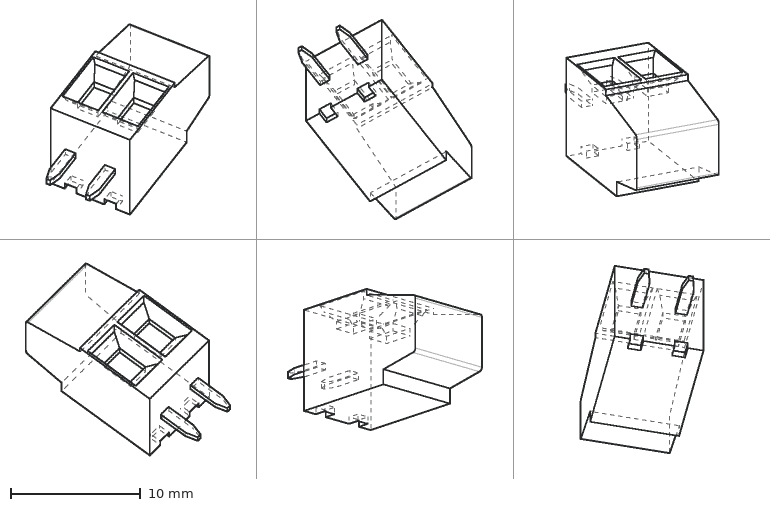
import cadquery as cq

WIDTH = 7.0
HEIGHT = 8.2
TOTAL_LENGTH = 16.1
PIN_LENGTH = 3.51
BODY_LENGTH = TOTAL_LENGTH - PIN_LENGTH

TOP_STEP_Y = 7.08
TOP_STEP_DROP = 0.5
BOTTOM_STEP_Y = 8.98
BOTTOM_STEP_RISE = 1.22
NOSE_TOP_Z = HEIGHT - 1.82
NOSE_BOTTOM_Z = 1.84
NOSE_RADIUS = 0.3

PITCH = 3.5
POLE_POSITIONS = (-PITCH / 2, PITCH / 2)

FUNNEL_CENTRE_Y = 4.02
MOUTH_WIDTH = 3.15
MOUTH_LENGTH = 4.86
WELL_WIDTH = 1.79
WELL_LENGTH = 2.62
LIP_INSET = 0.2
LIP_DEPTH = 0.5
WELL_TOP_DEPTH = 1.4
WELL_FLOOR_DEPTH = 2.0

PIN_WIDTH = 0.92
PIN_THICKNESS = 0.53
PIN_TIP_WIDTH = 0.34
PIN_TAPER_LENGTH = 1.0

NOTCH_WIDTH = 1.03
NOTCH_HEIGHT = 0.58
NOTCH_DEPTH = 1.0


def make_housing():
    """Side profile extruded across the width, with the nose edges rounded."""
    profile = [
        (0, 0),
        (BOTTOM_STEP_Y, 0),
        (BOTTOM_STEP_Y, BOTTOM_STEP_RISE),
        (BODY_LENGTH, NOSE_BOTTOM_Z),
        (BODY_LENGTH, NOSE_TOP_Z),
        (TOP_STEP_Y, HEIGHT - TOP_STEP_DROP),
        (TOP_STEP_Y, HEIGHT),
        (0, HEIGHT),
    ]
    block = cq.Workplane("YZ").polyline(profile).close().extrude(WIDTH / 2, both=True)
    return block.faces(">Y").edges("|X").fillet(NOSE_RADIUS)


def make_frustum(top_size, top_depth, bottom_size, bottom_depth):
    """Rectangular frustum between two depths below the top face."""
    return (
        cq.Workplane("XY", origin=(0, FUNNEL_CENTRE_Y, HEIGHT - top_depth))
        .rect(*top_size)
        .workplane(offset=top_depth - bottom_depth)
        .rect(*bottom_size)
        .loft(ruled=True)
    )


def make_funnel():
    """Steep lip, flatter slope, then a straight well with a flat floor."""
    mouth = (MOUTH_WIDTH, MOUTH_LENGTH)
    well = (WELL_WIDTH, WELL_LENGTH)
    side_run = (MOUTH_WIDTH - WELL_WIDTH) * LIP_DEPTH / WELL_TOP_DEPTH
    lip = (MOUTH_WIDTH - side_run, MOUTH_LENGTH - 2 * LIP_INSET)
    return (
        make_frustum(mouth, 0, lip, LIP_DEPTH)
        .union(make_frustum(lip, LIP_DEPTH, well, WELL_TOP_DEPTH))
        .union(make_frustum(well, WELL_TOP_DEPTH, well, WELL_FLOOR_DEPTH))
    )


def make_pin():
    """Pin at mid height, pointing toward -Y from the front face."""
    taper_y = PIN_TAPER_LENGTH - PIN_LENGTH
    outline = [
        (-PIN_WIDTH / 2, 0),
        (-PIN_WIDTH / 2, taper_y),
        (-PIN_TIP_WIDTH / 2, -PIN_LENGTH),
        (PIN_TIP_WIDTH / 2, -PIN_LENGTH),
        (PIN_WIDTH / 2, taper_y),
        (PIN_WIDTH / 2, 0),
    ]
    mid_height = cq.Workplane("XY", origin=(0, 0, HEIGHT / 2))
    return mid_height.polyline(outline).close().extrude(PIN_THICKNESS / 2, both=True)


def make_notch():
    """Blind rectangular notch open to the front face and the underside."""
    return cq.Workplane("XY").box(NOTCH_WIDTH, NOTCH_DEPTH, NOTCH_HEIGHT, centered=(True, False, False))


result = make_housing()
for pole_x in POLE_POSITIONS:
    result = result.cut(make_funnel().translate((pole_x, 0, 0)))
    result = result.cut(make_notch().translate((pole_x, 0, 0)))
    result = result.union(make_pin().translate((pole_x, 0, 0)))